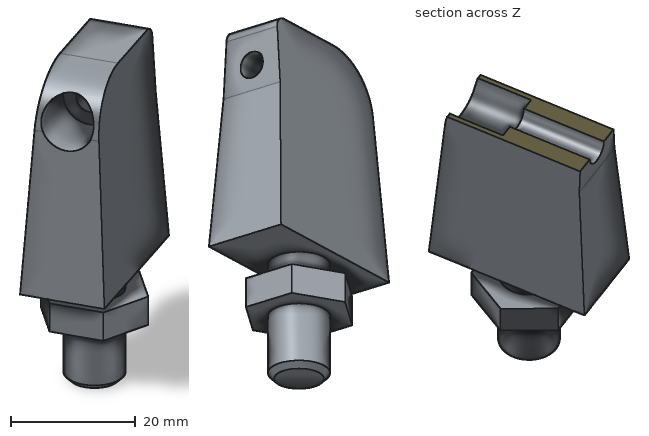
import cadquery as cq
import math

total_height = 58.0
stud_diameter = 10.0
stud_length = 20.0
stud_chamfer = 1.0
nut_across_flats = 16.0
nut_thickness = 5.05
nut_bottom = 10.95

base_width = 14.5
top_width = 10.0
base_depth = 28.7
front_draft = math.radians(4)
back_top_y = 12.5
back_corner_radius = 2.0
front_corner_radius = 10.0

bore_height = 50.6
bore_diameter = 4.5
counterbore_diameter = 9.0
counterbore_depth = 10.0

half_depth = base_depth / 2


def front_face_y(z):
    return -half_depth + (z - stud_length) * math.tan(front_draft)


def make_side_profile():
    """Body outline in the YZ plane, with a large arc tangent to the front face and the top."""
    r = front_corner_radius
    arc_center_z = total_height - r
    arc_center_y = front_face_y(arc_center_z) + r / math.cos(front_draft)
    arc_start = (
        arc_center_y - r * math.cos(front_draft),
        arc_center_z + r * math.sin(front_draft),
    )
    middle_angle = (math.pi / 2 + front_draft) / 2
    arc_middle = (
        arc_center_y - r * math.cos(middle_angle),
        arc_center_z + r * math.sin(middle_angle),
    )
    back_break_z = stud_length + (half_depth - back_top_y) / math.tan(front_draft)
    return (
        cq.Workplane("YZ")
        .moveTo(-half_depth, stud_length)
        .lineTo(*arc_start)
        .threePointArc(arc_middle, (arc_center_y, total_height))
        .lineTo(back_top_y - back_corner_radius, total_height)
        .radiusArc((back_top_y, total_height - back_corner_radius), back_corner_radius)
        .lineTo(back_top_y, back_break_z)
        .lineTo(half_depth, stud_length)
        .close()
    )


def make_body():
    """Side profile trimmed by a wedge that narrows in X toward the top."""
    slab = make_side_profile().extrude(base_width / 2, both=True)
    wedge = (
        cq.Workplane("XZ")
        .polyline([
            (-base_width / 2, stud_length),
            (base_width / 2, stud_length),
            (top_width / 2, total_height),
            (-top_width / 2, total_height),
        ])
        .close()
        .extrude(half_depth, both=True)
    )
    return slab.intersect(wedge)


def make_bore():
    front = cq.Workplane("XZ", origin=(0, -half_depth, bore_height))
    through_hole = front.circle(bore_diameter / 2).extrude(-base_depth)
    counterbore_floor = front_face_y(bore_height) + half_depth + counterbore_depth
    counterbore = front.circle(counterbore_diameter / 2).extrude(-counterbore_floor)
    return through_hole.union(counterbore)


def make_stud():
    return (
        cq.Workplane("XY")
        .circle(stud_diameter / 2)
        .extrude(stud_length)
        .faces("<Z")
        .chamfer(stud_chamfer)
    )


def make_nut():
    """Hexagonal nut with two corners on the X axis."""
    across_corners = nut_across_flats / math.cos(math.pi / 6)
    return (
        cq.Workplane("XY", origin=(0, 0, nut_bottom))
        .polygon(6, across_corners)
        .extrude(nut_thickness)
    )


result = make_body().cut(make_bore()).union(make_stud()).union(make_nut())